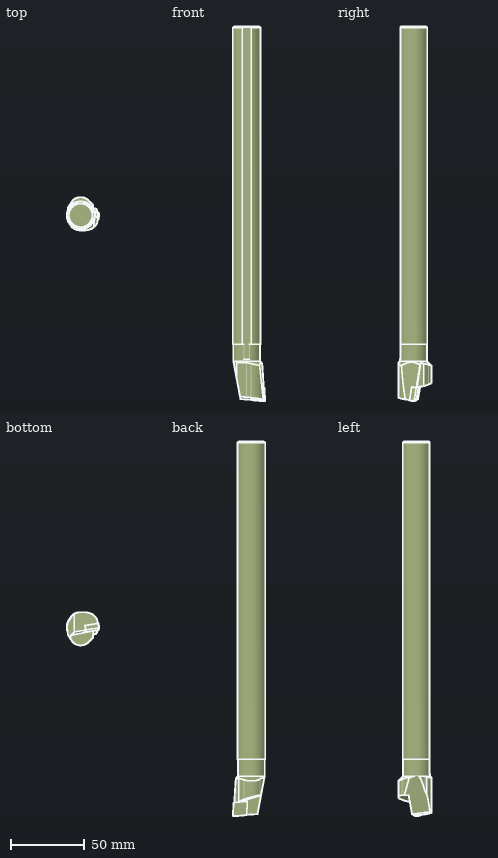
import cadquery as cq
import math

total_length = 255.25
tip_reach_x = 12.71
head_front_y = -10.35
head_back_y = 12.4
cutter_size = 80.0

shank_radius = 19.0 / 2
neck_radius = 18.4 / 2
neck_top_z = 38.8
neck_bottom_z = 27.3
flat_y = -9.0
flat_bottom_z = 28.8
end_chamfer_radial = 1.5
end_chamfer_height = 0.9

front_flat_left_x = -0.3
front_flat_right_x = 2.7
front_left_radius = 8.0
front_right_radius = 10.0
flank_start = (-7.3, -5.5)
flank_end = (-6.7, -7.1)
lobe_radius = 7.5
lobe_left_x = -5.6
lobe_side_angle = 45.0
lobe_flank_middle = (-7.3, 7.25)
lobe_flank_end = (-8.75, 5.2)
lobe_foot_y = 1.4

left_face_angle = 10.6
left_face_top_z = 28.0
lead_angle = 5.0
rake_slope = 0.15
side_relief_slope = 0.155
side_face_x = 12.25
end_relief_slope = 0.13
end_face_gap = 0.4

gullet_wall_x = 8.5
gullet_corner = (gullet_wall_x, 6.8, 10.2)
gullet_roof_slope_x = -0.28
gullet_roof_slope_y = 0.1

insert_angle = 80.0
inscribed_circle = 9.525
insert_thickness = 3.175
nose_radius = 0.8
rake_y_at_nose = 0.6

rake_normal = cq.Vector(rake_slope, 1, -rake_slope).normalized()
nose_spread = nose_radius * math.sqrt(1 - rake_normal.x**2)
nose_center = cq.Vector(tip_reach_x - nose_spread, rake_y_at_nose, nose_spread)


def block_beyond(point, normal):
    """Large block filling the space on the side of a plane that its normal points to."""
    face = cq.Plane(origin=point, normal=normal)
    return cq.Workplane(face).rect(cutter_size, cutter_size).extrude(cutter_size)


def make_insert():
    """Rhombic insert lying under the rake plane, one nose at the cutting corner."""
    half_angle = math.radians(insert_angle / 2)
    side = inscribed_circle / math.sin(2 * half_angle)
    lead = math.radians(lead_angle)
    face = cq.Plane(origin=nose_center, xDir=(1, -rake_slope, 0), normal=rake_normal)

    corner_distance = nose_radius / math.sin(half_angle)
    diagonal_angle = lead + half_angle
    corner = cq.Vector(math.cos(diagonal_angle), math.sin(diagonal_angle)) * corner_distance
    end_edge = cq.Vector(-math.cos(lead), -math.sin(lead)) * side
    side_edge = cq.Vector(-math.sin(lead), -math.cos(lead)) * side
    points = [corner, corner + end_edge, corner + end_edge + side_edge, corner + side_edge]
    return (
        cq.Workplane(face)
        .polyline([(p.x, p.y) for p in points])
        .close()
        .extrude(-insert_thickness)
        .edges(cq.selectors.ParallelDirSelector(rake_normal))
        .fillet(nose_radius)
    )


def make_bar():
    """Shank with end chamfer, reduced neck and the flat along the front."""
    shoulder_radius = shank_radius - end_chamfer_radial
    profile = [
        (0, neck_bottom_z),
        (neck_radius, neck_bottom_z),
        (neck_radius, neck_top_z),
        (shank_radius, neck_top_z),
        (shank_radius, total_length - end_chamfer_height),
        (shoulder_radius, total_length),
        (0, total_length),
    ]
    bar = cq.Workplane("XZ").polyline(profile).close().revolve(360, (0, 0, 0), (0, 1, 0))
    flat_depth = shank_radius + flat_y
    flat = (
        cq.Workplane("XY", origin=(0, flat_y - flat_depth / 2, flat_bottom_z))
        .rect(2 * shank_radius, flat_depth)
        .extrude(total_length)
    )
    return bar.cut(flat)


def point_on_circle(center, radius, degrees):
    """Point on a circle at the given angle."""
    angle = math.radians(degrees)
    return (center[0] + radius * math.cos(angle), center[1] + radius * math.sin(angle))


def make_head_blank():
    """Head outline pulled up from Z = 0 and trimmed by a 45 degree cone at the neck."""
    lobe_center = (0, head_back_y - lobe_radius)
    lobe_left = (lobe_left_x, lobe_center[1] + math.sqrt(lobe_radius**2 - lobe_left_x**2))
    lobe_right = point_on_circle(lobe_center, lobe_radius, lobe_side_angle)
    lobe_side_slope = math.tan(math.radians(90 - lobe_side_angle))
    lobe_foot = (-math.sqrt(neck_radius**2 - lobe_foot_y**2), lobe_foot_y)
    right_center = (front_flat_right_x, head_front_y + front_right_radius)
    right_end = (right_center[0] + front_right_radius, right_center[1])
    side_corner = (right_end[0], lobe_right[1] - lobe_side_slope * (right_end[0] - lobe_right[0]))
    front_flat_left = (front_flat_left_x, head_front_y)

    outline = (
        cq.Workplane("XY")
        .moveTo(*front_flat_left)
        .lineTo(front_flat_right_x, head_front_y)
        .threePointArc(point_on_circle(right_center, front_right_radius, -45), right_end)
        .lineTo(*side_corner)
        .lineTo(*lobe_right)
        .threePointArc((0, head_back_y), lobe_left)
        .threePointArc(lobe_flank_middle, lobe_flank_end)
        .lineTo(*lobe_foot)
        .threePointArc((-neck_radius, 0), flank_start)
        .lineTo(*flank_end)
        .radiusArc(front_flat_left, -front_left_radius)
        .close()
        .extrude(neck_top_z)
    )
    cone_base_radius = neck_radius + neck_bottom_z
    cone = (
        cq.Workplane("XZ")
        .polyline([(0, 0), (cone_base_radius, 0), (neck_radius, neck_bottom_z), (0, neck_bottom_z)])
        .close()
        .revolve(360, (0, 0, 0), (0, 1, 0))
    )
    return outline.intersect(cone)


def make_gullet():
    """Chip space behind the rake plane: below a sloping roof and beside an upright wall."""
    behind_rake = block_beyond(nose_center, rake_normal)
    under_roof = block_beyond(gullet_corner, (gullet_roof_slope_x, gullet_roof_slope_y, -1))
    beside_wall = block_beyond((gullet_wall_x, 0, 0), (1, 0, 0))
    below_neck = block_beyond((0, 0, neck_bottom_z), (0, 0, -1))
    return behind_rake.intersect(under_roof.union(beside_wall)).intersect(below_neck)


def make_holder(insert):
    """Bar and head in one solid with a seat that matches the insert."""
    left_slope = math.tan(math.radians(left_face_angle))
    lead_slope = math.tan(math.radians(lead_angle))
    left_side = block_beyond((-neck_radius, 0, left_face_top_z), (-1, 0, -left_slope))
    right_side = block_beyond((side_face_x, 0, 0), (1, -side_relief_slope, lead_slope))
    end_point = (nose_center.x, nose_center.y, end_face_gap)
    end_side = block_beyond(end_point, (-lead_slope, -end_relief_slope, -1))

    head = make_head_blank().cut(right_side).cut(end_side).cut(make_gullet())
    return make_bar().union(head).cut(left_side).cut(insert)


insert = make_insert()
holder = make_holder(insert)

result = cq.Compound.makeCompound([holder.val(), insert.val()])